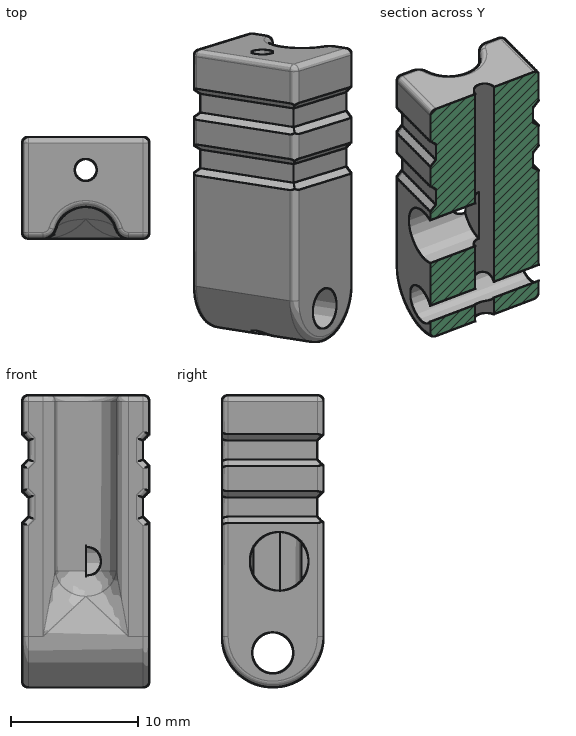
import cadquery as cq
import math

WIDTH = 10.0
DEPTH = 8.0
HEIGHT = 22.94
END_RADIUS = DEPTH / 2
TOP_Z = HEIGHT - END_RADIUS
FRONT_Y = -DEPTH / 2
EDGE_RADIUS = 0.5

GROOVE_DEPTH = 0.5
GROOVE_OPENING = 2.5
GROOVE_PITCH = 4.48
GROOVE_COUNT = 2
FIRST_GROOVE_TOP = TOP_Z - 3.06

CHANNEL_RADIUS = 2.5
LIP_RADIUS = 1.0

CROSS_HOLE_DIAMETER = 3.2
CROSS_HOLE_Z = -1.28
LONG_HOLE_DIAMETER = 1.7
LONG_HOLE_Y = 1.4
SIDE_POCKET_DIAMETER = 4.6
SIDE_POCKET_Y = 0.5
SIDE_POCKET_Z = 5.9

CURVE_STEPS = 12
BOWL_POINT_ANGLES = (10.0, 22.0, 34.0)
TOLERANCE = 1e-3

lip_x = math.sqrt((CHANNEL_RADIUS + LIP_RADIUS) ** 2 - LIP_RADIUS ** 2)
lip_share = CHANNEL_RADIUS / (CHANNEL_RADIUS + LIP_RADIUS)
lip_start_x = lip_x * lip_share
lip_start_depth = LIP_RADIUS * lip_share

channel_end_z = math.sqrt((CHANNEL_RADIUS + END_RADIUS) ** 2 - END_RADIUS ** 2)
ramp_share = END_RADIUS / (CHANNEL_RADIUS + END_RADIUS)
apex_z = channel_end_z * ramp_share
apex_depth = END_RADIUS * (1 - ramp_share)


def in_front(x, depth, z):
    """Point at a given depth behind the front face."""
    return cq.Vector(x, FRONT_Y + depth, z)


def lip_depth(x):
    return LIP_RADIUS - math.sqrt(LIP_RADIUS ** 2 - (lip_x - abs(x)) ** 2)


def ramp_depth(z):
    return END_RADIUS - math.sqrt(END_RADIUS ** 2 - z ** 2)


def make_block():
    return (
        cq.Workplane("YZ")
        .moveTo(FRONT_Y, 0)
        .lineTo(FRONT_Y, TOP_Z)
        .lineTo(-FRONT_Y, TOP_Z)
        .lineTo(-FRONT_Y, 0)
        .threePointArc((0, -END_RADIUS), (FRONT_Y, 0))
        .close()
        .extrude(WIDTH / 2, both=True)
    )


def front_prism(points):
    """Prism through the whole depth, from an outline given as X and Z."""
    return cq.Workplane("XZ").polyline(points).close().extrude(DEPTH, both=True)


def make_channel():
    """Channel with its lips, which run on below its end and narrow down to the ramp foot."""
    start_angle = math.atan2(LIP_RADIUS, lip_x)
    middle_angle = (start_angle + math.pi / 2) / 2
    lip_middle_x = lip_x - LIP_RADIUS * math.cos(middle_angle)
    lip_middle_y = FRONT_Y + lip_depth(lip_middle_x)
    lip_start_y = FRONT_Y + lip_start_depth
    profile = (
        cq.Workplane("XY")
        .moveTo(-lip_x, FRONT_Y)
        .threePointArc((-lip_middle_x, lip_middle_y), (-lip_start_x, lip_start_y))
        .threePointArc((0, FRONT_Y + CHANNEL_RADIUS), (lip_start_x, lip_start_y))
        .threePointArc((lip_middle_x, lip_middle_y), (lip_x, FRONT_Y))
        .close()
        .extrude(TOP_Z)
    )
    outline = [
        (-lip_x, TOP_Z),
        (lip_x, TOP_Z),
        (lip_x, 0),
        (lip_start_x, channel_end_z),
        (-lip_start_x, channel_end_z),
        (-lip_x, 0),
    ]
    return profile.intersect(front_prism(outline))


def make_ramp():
    """Triangular ramp on the cylinder of the lower end, rising to the apex."""
    end_cylinder = cq.Workplane("YZ").circle(END_RADIUS).extrude(WIDTH, both=True)
    triangle = front_prism([(-lip_x, 0), (lip_x, 0), (0, apex_z)])
    front_half = cq.Workplane("XY").box(WIDTH, END_RADIUS, HEIGHT).translate((0, FRONT_Y / 2, 0))
    return triangle.intersect(front_half).cut(end_cylinder)


def curve_between(start, end, depth_at):
    """Curve that is straight in X and Z, with its depth given by a formula of X and Z."""
    points = []
    for i in range(CURVE_STEPS + 1):
        share = i / CURVE_STEPS
        x = start[0] + share * (end[0] - start[0])
        z = start[1] + share * (end[1] - start[1])
        points.append(in_front(x, depth_at(x, z), z))
    return cq.Edge.makeSpline(points)


def planar_face(edges):
    return cq.Face.makeFromWires(cq.Wire.assembleEdges(edges))


def make_rim(shoulder, apex):
    """Arc on the channel's end sphere, in the sloping plane through both shoulders and the apex."""
    sphere_center = in_front(0, 0, channel_end_z)
    middle_top = cq.Vector(0, shoulder.y, shoulder.z)
    slope = (apex - middle_top).normalized()
    rim_center = middle_top + slope * (sphere_center - middle_top).dot(slope)
    toward_middle = ((shoulder + apex) * 0.5 - rim_center).normalized()
    rim_radius = (apex - rim_center).Length
    return cq.Edge.makeThreePointArc(shoulder, rim_center + toward_middle * rim_radius, apex)


def make_channel_end():
    """Spherical bowl below the channel and the two patches that join it to the lips and the ramp."""
    line = cq.Edge.makeLine
    apex = in_front(0, apex_depth, apex_z)
    apex_front = in_front(0, 0, apex_z)
    apex_line = line(apex_front, apex)
    faces = []
    rims = []
    shoulder_lines = []
    front_lines = []
    for side in (-1, 1):
        shoulder = in_front(side * lip_start_x, lip_start_depth, channel_end_z)
        shoulder_front = in_front(side * lip_start_x, 0, channel_end_z)
        foot = in_front(side * lip_x, 0, 0)
        rim = make_rim(shoulder, apex)
        ramp_edge = curve_between((0, apex_z), (side * lip_x, 0), lambda x, z: ramp_depth(z))
        lip_edge = curve_between(
            (side * lip_start_x, channel_end_z), (side * lip_x, 0), lambda x, z: lip_depth(x)
        )
        shoulder_line = line(shoulder_front, shoulder)
        lip_front = line(shoulder_front, foot)
        ramp_front = line(foot, apex_front)
        faces.append(cq.Face.makeNSidedSurface([rim, ramp_edge, lip_edge], []))
        faces.append(planar_face([shoulder_line, lip_edge, lip_front]))
        faces.append(planar_face([apex_line, ramp_edge, ramp_front]))
        rims.append(rim)
        shoulder_lines.append(shoulder_line)
        front_lines.append((lip_front, ramp_front))

    bowl_top = cq.Edge.makeThreePointArc(
        in_front(-lip_start_x, lip_start_depth, channel_end_z),
        in_front(0, CHANNEL_RADIUS, channel_end_z),
        in_front(lip_start_x, lip_start_depth, channel_end_z),
    )
    bowl_points = []
    for degrees in BOWL_POINT_ANGLES:
        angle = math.radians(degrees)
        drop = CHANNEL_RADIUS * math.sin(angle)
        bowl_points.append(in_front(0, CHANNEL_RADIUS * math.cos(angle), channel_end_z - drop))
    faces.append(cq.Face.makeNSidedSurface([bowl_top] + rims, bowl_points))

    top_front = line(in_front(-lip_start_x, 0, channel_end_z), in_front(lip_start_x, 0, channel_end_z))
    faces.append(planar_face([top_front, shoulder_lines[1], bowl_top, shoulder_lines[0]]))
    (left_lip, left_ramp), (right_lip, right_ramp) = front_lines
    faces.append(planar_face([top_front, right_lip, right_ramp, left_ramp, left_lip]))
    return cq.Workplane(cq.Solid.makeSolid(cq.Shell.makeShell(faces)))


def make_groove(plane, edge, length, top_z):
    """Trapezoid prism cutting into the face that lies at `edge` on the plane's first axis."""
    floor = edge - math.copysign(GROOVE_DEPTH, edge)
    bottom_z = top_z - GROOVE_OPENING
    return (
        cq.Workplane(plane)
        .moveTo(edge, top_z)
        .lineTo(floor, top_z - GROOVE_DEPTH)
        .lineTo(floor, bottom_z + GROOVE_DEPTH)
        .lineTo(edge, bottom_z)
        .close()
        .extrude(length / 2, both=True)
    )


def cut_grooves(body):
    for i in range(GROOVE_COUNT):
        top_z = FIRST_GROOVE_TOP - i * GROOVE_PITCH
        body = body.cut(make_groove("XZ", -WIDTH / 2, DEPTH, top_z))
        body = body.cut(make_groove("XZ", WIDTH / 2, DEPTH, top_z))
        body = body.cut(make_groove("YZ", DEPTH / 2, WIDTH, top_z))
    return body


def is_rounded(edge):
    """True for the outer edges of the top, the front sides, the back sides and the lower end."""
    box = edge.BoundingBox()
    from_middle = abs(edge.Center().x)
    on_top = box.zmin > TOP_Z - TOLERANCE
    near_side = from_middle > WIDTH / 2 - GROOVE_DEPTH - TOLERANCE
    on_front = near_side and box.ymax < FRONT_Y + TOLERANCE
    on_side = from_middle > WIDTH / 2 - TOLERANCE
    on_back = on_side and box.ymin > DEPTH / 2 - TOLERANCE
    on_lower_end = on_side and box.zmin < -TOLERANCE
    return on_top or on_front or on_back or on_lower_end


def round_edges(body):
    edges = [edge for edge in body.edges().vals() if is_rounded(edge)]
    return body.newObject(edges).fillet(EDGE_RADIUS)


def make_cross_hole():
    """Hole along X through the lower end."""
    hole = cq.Workplane("YZ").center(0, CROSS_HOLE_Z).circle(CROSS_HOLE_DIAMETER / 2)
    return hole.extrude(WIDTH / 2, both=True)


def make_long_hole():
    """Hole along Z through the whole height."""
    hole = cq.Workplane("XY").center(0, LONG_HOLE_Y).circle(LONG_HOLE_DIAMETER / 2)
    return hole.extrude(HEIGHT, both=True)


def make_side_pocket():
    """Blind hole from the +X side to the middle, breaking into the channel floor."""
    hole = cq.Workplane("YZ").center(SIDE_POCKET_Y, SIDE_POCKET_Z).circle(SIDE_POCKET_DIAMETER / 2)
    return hole.extrude(WIDTH / 2)


body = make_block().cut(make_channel())
body = round_edges(cut_grooves(body))
body = body.cut(make_ramp()).cut(make_channel_end())
result = body.cut(make_cross_hole()).cut(make_long_hole()).cut(make_side_pocket())